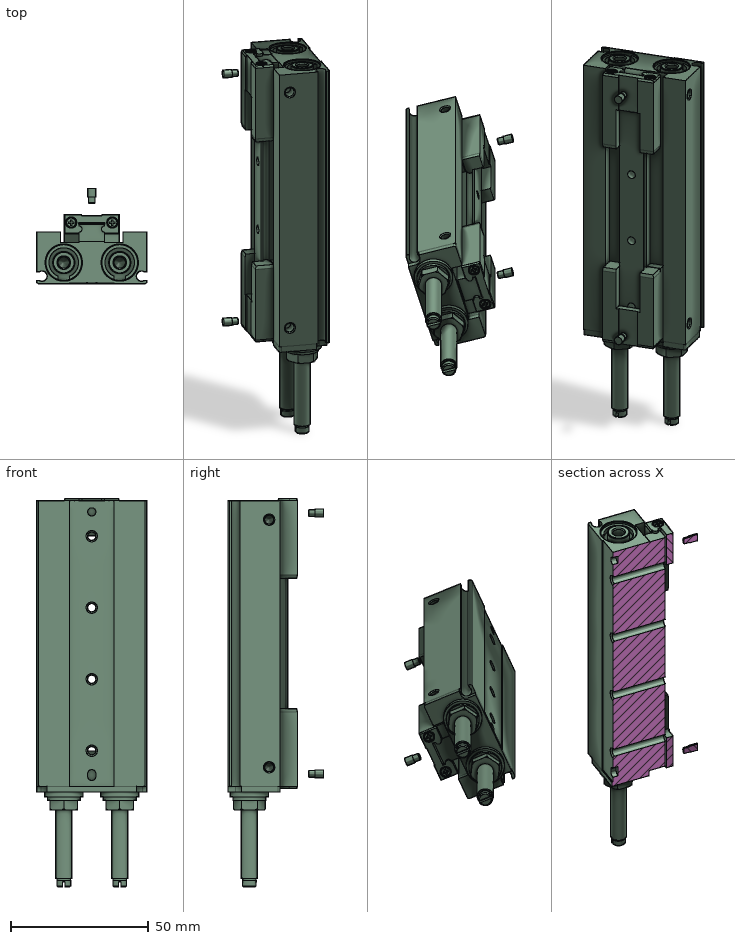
import cadquery as cq
import math


body_width = 40.0
body_length = 104.0
front_y = -7.8
ear_back_y = 11.2
slot_floor_y = 7.4
slot_half_width = 11.3
edge_chamfer = 0.5
front_recess_depth = 0.4
front_recess_width = 16.1
half_width = body_width / 2
mid_z = body_length / 2

groove_diameter = 3.7
groove_x = 18.1
groove_y = -5.0
groove_mouth = 3.1
groove_inner_x = groove_x - groove_diameter / 2

plate_thickness = 2.1
plate_notch_radius = 2.1
plate_ear_radius = 0.7

rail_half_width = 4.7
rail_pad_y = 7.6
rail_back_y = 14.0
rail_end_gap = 0.1
notch_y = 12.2
notch_radius = 1.1

mount_hole_diameter = 3.0
mount_countersink_diameter = 4.1
mount_hole_pitch = 26.0
mount_hole_count = 4
locating_diameter = 3.0
locating_depth = 2.1
locating_end_distance = 4.1
locating_slot_length = 4.0
port_diameter = 3.3
port_countersink_diameter = 4.1
port_depth = 5.0
port_y = 7.2
port_end_distance = 7.0
drill_point_angle = 118

rod_spacing = 20.4
bore_diameter = 13.0
bore_mouth_diameter = 13.6
bore_depth = 1.0
ring_inner_diameter = 10.8
ring_gap_width = 4.2
annulus_depth = 2.8
boss_diameter = 8.0
boss_chamfer = 0.3
boss_hole_diameter = 4.1
boss_countersink_diameter = 5.0
boss_hole_depth = 4.2

collar_diameter = 14.0
collar_height = 1.7
step_diameter = 12.0
step_height = 1.3
nut_across_flats = 10.0
nut_height = 3.5
nut_chamfer = 0.4
rod_diameter = 6.0
rod_length = 24.9
neck_diameter = 5.0
neck_length = 0.7
tip_diameter = 5.1
tip_length = 2.4
tip_chamfer = 0.4
tip_slot_width = 0.8
tip_slot_depth = 1.8

bracket_half_width = 10.0
bracket_length = 29.1
bracket_overhang = 0.8
bracket_back_y = 17.5
bar_back_y = 17.1
bar_front_y = 14.5
bar_recess_half_width = 3.7
bar_length = 13.7
leg_front_y = 10.5
foot_drop = 0.8
end_bevel_inset = 0.3
outer_bevel_length = 0.8
inner_bevel_length = 1.3
screw_x = 7.5
screw_y = 14.6
screw_diameter = 3.3
screw_recess_diameter = 4.1
screw_recess_depth = 0.5
screw_head_height = 0.4
cross_length = 2.0
cross_width = 0.5
cross_depth = 0.4

pin_back_y = 27.0
pin_head_diameter = 3.0
pin_head_length = 3.1
pin_tail_diameter = 2.5
pin_tail_length = 2.4
pin_chamfer = 0.3
pin_end_distance = 4.5


def box_between(x0, x1, y0, y1, z0, z1):
    return cq.Workplane("XY").box(x1 - x0, y1 - y0, z1 - z0, centered=False).translate((x0, y0, z0))


def cylinder_z(diameter, height, x=0, y=0, z=0):
    return cq.Workplane("XY").circle(diameter / 2).extrude(height).translate((x, y, z))


def drilled_hole(diameter, mouth_diameter, depth):
    """Hole running from the origin along -Z, with a 45 degree countersink and a conical drill point."""
    radius = diameter / 2
    mouth_radius = mouth_diameter / 2
    countersink_depth = mouth_radius - radius
    point_length = radius / math.tan(math.radians(drill_point_angle / 2))
    outline = cq.Workplane("XZ").polyline([
        (0, 0),
        (mouth_radius, 0),
        (radius, -countersink_depth),
        (radius, -depth),
        (0, -depth - point_length),
    ])
    return outline.close().revolve(360, (0, 0, 0), (0, 1, 0))


def slotted_block(z0, z1):
    """Rectangular block with the wide slot that leaves one ear on each side of its back."""
    block = box_between(-half_width, half_width, front_y, ear_back_y, z0, z1)
    slot = box_between(-slot_half_width, slot_half_width, slot_floor_y, ear_back_y, z0, z1)
    return block.cut(slot)


def make_rail():
    """Notched rail on a thin pad; the rail stops just short of the pad's two ends."""
    rail_length = body_length - 2 * rail_end_gap
    rail = box_between(
        -rail_half_width, rail_half_width, rail_pad_y, rail_back_y, rail_end_gap, body_length - rail_end_gap
    )
    for side in (-1, 1):
        rail = rail.cut(
            cylinder_z(2 * notch_radius, rail_length, side * rail_half_width, notch_y, rail_end_gap)
        )
    pad = box_between(-rail_half_width, rail_half_width, slot_floor_y, rail_pad_y, 0, body_length)
    return rail.union(pad)


def cut_grooves(body):
    for side in (-1, 1):
        channel = cylinder_z(groove_diameter, body_length, side * groove_x, groove_y)
        mouth = cq.Workplane("XY").box(
            2 * (half_width - groove_x), groove_mouth, body_length, centered=(True, True, False)
        )
        body = body.cut(channel).cut(mouth.translate((side * half_width, groove_y, 0)))
    return body


def cut_rod_bore(body, x):
    """Bore with a gapped retaining ring, and a drilled boss level with the end of the housing."""
    bore = cylinder_z(bore_diameter, bore_depth, x, 0, body_length - bore_depth)
    mouth_chamfer = (bore_mouth_diameter - bore_diameter) / 2
    mouth_base = cq.Vector(x, 0, body_length - mouth_chamfer)
    mouth_cone = cq.Solid.makeCone(bore_diameter / 2, bore_mouth_diameter / 2, mouth_chamfer, mouth_base)
    mouth = cq.Workplane(mouth_cone)
    annulus = cylinder_z(ring_inner_diameter, annulus_depth, x, 0, body_length - annulus_depth)
    ring_gap = box_between(
        x - ring_gap_width / 2, x + ring_gap_width / 2, -bore_diameter / 2, 0,
        body_length - annulus_depth, body_length,
    )
    ring_gap = ring_gap.intersect(cylinder_z(bore_diameter, body_length, x))
    boss = cylinder_z(boss_diameter, annulus_depth, x, 0, body_length - annulus_depth)
    boss = boss.faces(">Z").chamfer(boss_chamfer)
    boss_hole = drilled_hole(boss_hole_diameter, boss_countersink_diameter, boss_hole_depth)
    recess = bore.union(mouth).union(annulus).union(ring_gap).cut(boss)
    return body.cut(recess).cut(boss_hole.translate((x, 0, body_length)))


def cut_mounting_holes(body):
    face_y = front_y + front_recess_depth
    through = rail_back_y - face_y
    countersink_depth = (mount_countersink_diameter - mount_hole_diameter) / 2
    for index in range(mount_hole_count):
        z = mid_z + (index - (mount_hole_count - 1) / 2) * mount_hole_pitch
        origin = cq.Vector(0, face_y, z)
        into_body = cq.Vector(0, 1, 0)
        hole = cq.Solid.makeCylinder(mount_hole_diameter / 2, through, origin, into_body)
        countersink = cq.Solid.makeCone(
            mount_countersink_diameter / 2, mount_hole_diameter / 2, countersink_depth, origin, into_body
        )
        body = body.cut(cq.Workplane(hole)).cut(cq.Workplane(countersink))
    return body


def cut_locating_holes(body):
    """A round hole near the top and a short slot near the bottom of the front face."""
    face_y = front_y + front_recess_depth
    top_z = body_length - locating_end_distance
    top_hole = cq.Workplane("XZ").circle(locating_diameter / 2).extrude(-locating_depth)
    bottom_slot = cq.Workplane("XZ").slot2D(locating_slot_length, locating_diameter, 90)
    bottom_slot = bottom_slot.extrude(-locating_depth)
    body = body.cut(top_hole.translate((0, face_y, top_z)))
    return body.cut(bottom_slot.translate((0, face_y, locating_end_distance)))


def cut_side_ports(body):
    port = drilled_hole(port_diameter, port_countersink_diameter, port_depth)
    for side in (-1, 1):
        side_port = port.rotate((0, 0, 0), (0, 1, 0), side * 90)
        for z in (port_end_distance, body_length - port_end_distance):
            body = body.cut(side_port.translate((side * half_width, port_y, z)))
    return body


def make_end_plate():
    """Plate under the housing, its front corners cut away where the grooves run out."""
    plate = slotted_block(-plate_thickness, 0)
    plate = plate.edges("|Z and >Y").edges("<X or >X").fillet(plate_ear_radius)
    notch_depth = half_width - groove_inner_x
    notch_back_y = groove_y + plate_notch_radius
    for side in (-1, 1):
        notch = box_between(
            -notch_depth, notch_depth, 2 * front_y - notch_back_y, notch_back_y, -plate_thickness, 0
        )
        notch = notch.edges("|Z").fillet(plate_notch_radius)
        plate = plate.cut(notch.translate((side * half_width, 0, 0)))
    return plate


def make_housing():
    body = slotted_block(0, body_length)
    body = body.edges("|Z and <Y").chamfer(edge_chamfer)
    recess = box_between(
        -front_recess_width / 2, front_recess_width / 2, front_y, front_y + front_recess_depth, 0, body_length
    )
    body = cut_grooves(body.cut(recess)).union(make_rail())
    for side in (-1, 1):
        body = cut_rod_bore(body, side * rod_spacing / 2)
    body = cut_side_ports(cut_locating_holes(cut_mounting_holes(body)))
    return body.union(make_end_plate(), clean=False)


def make_rod(x):
    """Collar, hexagon nut, rod and slotted tip, stacked downwards from the end plate."""
    nut_top = -plate_thickness - collar_height - step_height
    nut_bottom = nut_top - nut_height
    rod_bottom = nut_bottom - rod_length
    tip_top = rod_bottom - neck_length
    tip_bottom = tip_top - tip_length

    rod = cylinder_z(collar_diameter, collar_height, z=-plate_thickness - collar_height)
    rod = rod.union(cylinder_z(step_diameter, step_height, z=nut_top))

    across_corners = nut_across_flats / math.cos(math.radians(30))
    nut = cq.Workplane("XY").polygon(6, across_corners).extrude(nut_height).rotate((0, 0, 0), (0, 0, 1), 90)
    nut_blank = cylinder_z(across_corners, nut_height).faces("<Z").chamfer(nut_chamfer)
    rod = rod.union(nut.intersect(nut_blank).translate((0, 0, nut_bottom)))

    rod = rod.union(cylinder_z(rod_diameter, rod_length, z=rod_bottom))
    rod = rod.union(cylinder_z(neck_diameter, neck_length, z=tip_top))
    tip = cylinder_z(tip_diameter, tip_length, z=tip_bottom).faces("<Z").chamfer(tip_chamfer)
    slot = box_between(
        -tip_slot_width / 2, tip_slot_width / 2, -tip_diameter, tip_diameter,
        tip_bottom, tip_bottom + tip_slot_depth,
    )
    return rod.union(tip.cut(slot)).translate((x, 0, 0))


def make_bracket_block(bottom_z, top_z):
    """Block of the bracket's outer size, tapering slightly at both ends."""
    width = 2 * bracket_half_width
    depth = bracket_back_y - leg_front_y
    center_y = (bracket_back_y + leg_front_y) / 2
    straight_length = top_z - bottom_z - outer_bevel_length - inner_bevel_length
    outer_taper = math.degrees(math.atan(end_bevel_inset / outer_bevel_length))
    inner_taper = math.degrees(math.atan(end_bevel_inset / inner_bevel_length))
    straight = cq.Workplane("XY").rect(width, depth).extrude(straight_length)
    outer_end = straight.faces(">Z").workplane().rect(width, depth)
    block = outer_end.extrude(outer_bevel_length, taper=outer_taper)
    inner_end = block.faces("<Z").workplane().rect(width, depth)
    block = inner_end.extrude(inner_bevel_length, taper=inner_taper)
    return block.translate((0, center_y, bottom_z + inner_bevel_length))


def make_upper_bracket():
    """U-shaped clamp: two legs with ribs in the rail notches, a bar behind them and one foot."""
    top_z = body_length + bracket_overhang
    bottom_z = top_z - bracket_length
    block = make_bracket_block(bottom_z, top_z)

    gap = box_between(-rail_half_width, rail_half_width, leg_front_y, bar_front_y, bottom_z, top_z)
    below_bar = box_between(
        -rail_half_width, rail_half_width, leg_front_y, bracket_back_y, bottom_z, top_z - bar_length
    )
    back_recess = box_between(
        -bar_recess_half_width, bar_recess_half_width, bar_back_y, bracket_back_y, bottom_z, top_z
    )
    bracket = block.cut(gap).cut(below_bar).cut(back_recess)

    for side in (-1, 1):
        rib = cylinder_z(2 * notch_radius, bracket_length, side * rail_half_width, notch_y, bottom_z)
        bracket = bracket.union(rib)
        recess = cylinder_z(screw_recess_diameter, screw_recess_depth, z=-screw_recess_depth)
        head = cylinder_z(screw_diameter, screw_head_height, z=-screw_recess_depth)
        cross = cq.Workplane("XY").rect(cross_length, cross_width).extrude(-cross_depth)
        cross = cross.union(cross.rotate((0, 0, 0), (0, 0, 1), 90))
        head_top = screw_head_height - screw_recess_depth
        screw_cut = recess.cut(head).union(cross.translate((0, 0, head_top)))
        bracket = bracket.cut(screw_cut.translate((side * screw_x, screw_y, top_z)))

    foot = box_between(
        rail_half_width, bracket_half_width, slot_floor_y, leg_front_y, bottom_z, top_z - foot_drop
    )
    return bracket.union(foot)


def make_pin(z):
    head = cq.Workplane("XZ").circle(pin_head_diameter / 2).extrude(pin_head_length)
    tail = cq.Workplane("XZ").circle(pin_tail_diameter / 2).extrude(pin_tail_length)
    tail = tail.faces("<Y").chamfer(pin_chamfer).translate((0, -pin_head_length, 0))
    return head.union(tail).translate((0, pin_back_y, z))


housing = make_housing()
rods = [make_rod(side * rod_spacing / 2) for side in (-1, 1)]
upper_bracket = make_upper_bracket()
lower_bracket = upper_bracket.rotate((0, 0, mid_z), (0, 1, mid_z), 180)
brackets = [upper_bracket, lower_bracket]
pins = [make_pin(z) for z in (pin_end_distance, body_length - pin_end_distance)]

result = cq.Compound.makeCompound([body.val() for body in [housing, *rods, *brackets, *pins]])